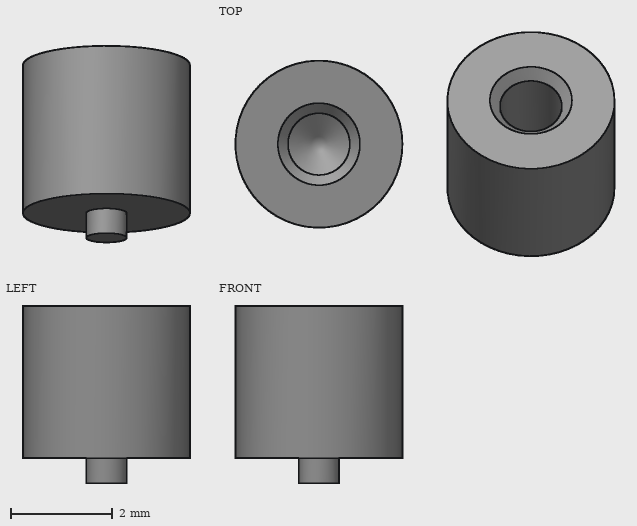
import cadquery as cq
import math

body_diameter = 3.3
body_height = 3.0
pin_diameter = 0.8
pin_length = 0.5
hole_diameter = 1.22
hole_depth = 2.0
drill_point_angle = 118.0
countersink_width = 0.2

hole_radius = hole_diameter / 2
countersink_radius = hole_radius + countersink_width
drill_point_depth = hole_radius / math.tan(math.radians(drill_point_angle / 2))


def make_body():
    """Cylindrical body standing on the XY plane."""
    return cq.Workplane("XY").circle(body_diameter / 2).extrude(body_height)


def make_pin():
    """Locating pin hanging below the body."""
    return cq.Workplane("XY").circle(pin_diameter / 2).extrude(-pin_length)


def make_hole():
    """Countersunk blind hole with a drill point, revolved about the Z axis."""
    wall_bottom = body_height - hole_depth
    return (
        cq.Workplane("XZ")
        .moveTo(0, body_height)
        .lineTo(countersink_radius, body_height)
        .lineTo(hole_radius, body_height - countersink_width)
        .lineTo(hole_radius, wall_bottom)
        .lineTo(0, wall_bottom - drill_point_depth)
        .close()
        .revolve(360, (0, 0, 0), (0, 1, 0))
    )


result = make_body().union(make_pin()).cut(make_hole())